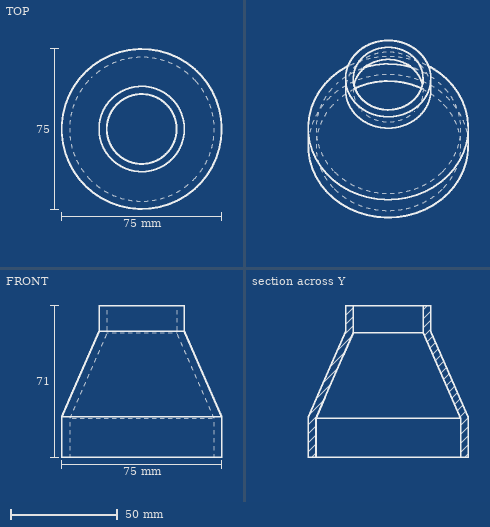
import math

import cadquery as cq

base_diameter = 75.0
collar_diameter = 40.0
bore_diameter = 32.6
total_height = 71.0
base_height = 19.0
collar_height = 12.0

base_radius = base_diameter / 2
collar_radius = collar_diameter / 2
wall = (collar_diameter - bore_diameter) / 2
cone_bottom = base_height
cone_top = total_height - collar_height

cone_angle = math.atan2(base_radius - collar_radius, cone_top - cone_bottom)
inner_drop = wall * math.tan(cone_angle / 2)


def stepped_cone(lower_radius, upper_radius, taper_start, taper_end):
    """Solid of revolution about Z: cylinder, cone, then smaller cylinder."""
    return (
        cq.Workplane("XZ")
        .moveTo(0, 0)
        .lineTo(lower_radius, 0)
        .lineTo(lower_radius, taper_start)
        .lineTo(upper_radius, taper_end)
        .lineTo(upper_radius, total_height)
        .lineTo(0, total_height)
        .close()
        .revolve(360, (0, 0), (0, 1))
    )


outer_body = stepped_cone(base_radius, collar_radius, cone_bottom, cone_top)
inner_cavity = stepped_cone(
    base_radius - wall,
    collar_radius - wall,
    cone_bottom - inner_drop,
    cone_top - inner_drop,
)
result = outer_body.cut(inner_cavity)